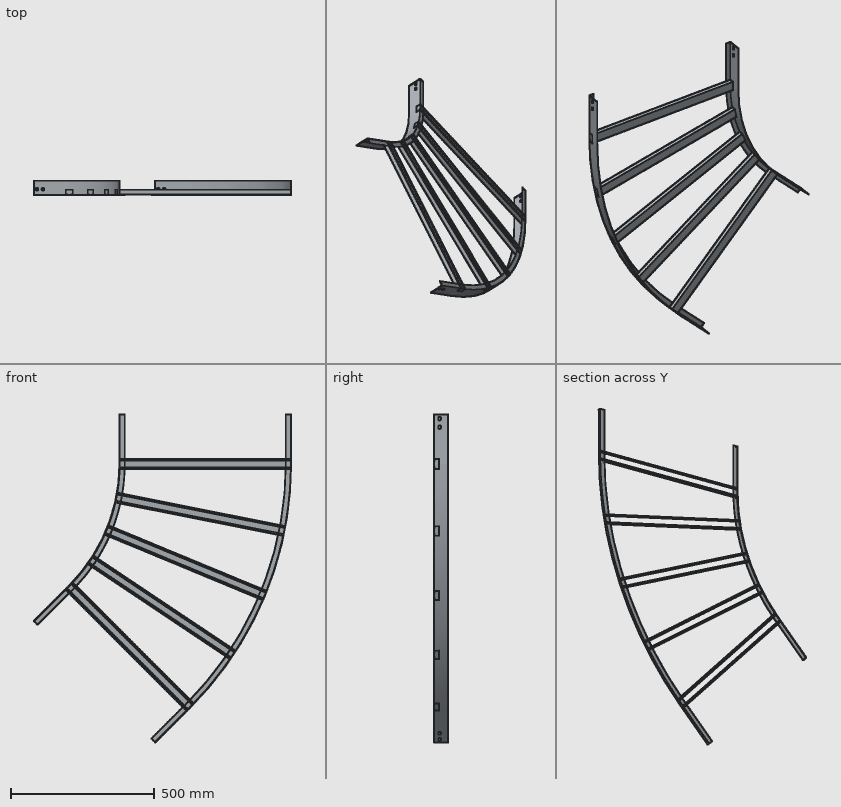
import cadquery as cq
import math


BEND_ANGLE = 45.0
INNER_RADIUS = 600.0
OUTER_RADIUS = 1200.0
TOTAL_HEIGHT = 1144.0
TURN = math.radians(BEND_ANGLE)
STRAIGHT = (TOTAL_HEIGHT - OUTER_RADIUS * math.sin(TURN)) / (1 + math.cos(TURN))

RAIL_DEPTH = 50.0
FLANGE_WIDTH = 20.0
SHEET = 2.0
EDGE_ROUND = 1.7

RUNG_COUNT = 5
RUNG_WIDTH = 35.0
RUNG_DEPTH = 17.0
LIP_WIDTH = 7.0
RUNG_SHEET = 1.0

SLOT_LENGTH = 13.0
SLOT_WIDTH = 8.0
SLOT_FROM_FRONT = 21.0
SLOT_FROM_END = (15.0, 45.0)


def polar(radius, angle):
    """Point on the bend, in (X, Z), at an angle turned downward from +X."""
    turn = math.radians(angle)
    return (radius * math.cos(turn), -radius * math.sin(turn))


def bend_band(near_radius, far_radius, depth):
    """Strip that runs straight, around the bend and straight again; its front is at Y = 0."""
    run_x = -STRAIGHT * math.sin(TURN)
    run_z = -STRAIGHT * math.cos(TURN)
    near_x, near_z = polar(near_radius, BEND_ANGLE)
    far_x, far_z = polar(far_radius, BEND_ANGLE)
    return (
        cq.Workplane("XZ")
        .moveTo(near_radius, STRAIGHT)
        .lineTo(near_radius, 0)
        .threePointArc(polar(near_radius, BEND_ANGLE / 2), (near_x, near_z))
        .lineTo(near_x + run_x, near_z + run_z)
        .lineTo(far_x + run_x, far_z + run_z)
        .lineTo(far_x, far_z)
        .threePointArc(polar(far_radius, BEND_ANGLE / 2), (far_radius, 0))
        .lineTo(far_radius, STRAIGHT)
        .close()
        .extrude(-depth)
    )


def turned(body, angle):
    """Body carried around the bend axis, downward from +X."""
    return body.rotate((0, 0, 0), (0, 1, 0), angle)


def rail_slots(web_radius):
    """Cutters for the slots through the web at both ends of a rail."""
    cutters = cq.Workplane("XY")
    for from_end in SLOT_FROM_END:
        height = STRAIGHT - from_end
        slot = (
            cq.Workplane("YZ", origin=(web_radius, SLOT_FROM_FRONT, 0))
            .center(0, height)
            .slot2D(SLOT_LENGTH, SLOT_WIDTH, 90)
            .extrude(SHEET, both=True)
        )
        cutters = cutters.add(slot)
        cutters = cutters.add(turned(slot.mirror("XY"), BEND_ANGLE))
    return cutters.combine()


def round_front(rail):
    """Round the long front edges, leaving the short edges across the rail ends sharp."""
    front = rail.faces("<Y").edges()
    long_edges = [edge for edge in front.vals() if edge.Length() > FLANGE_WIDTH + SHEET]
    return rail.newObject(long_edges).fillet(EDGE_ROUND)


def inner_rail():
    web = bend_band(INNER_RADIUS, INNER_RADIUS + SHEET, RAIL_DEPTH)
    flange = bend_band(INNER_RADIUS, INNER_RADIUS + FLANGE_WIDTH, SHEET)
    rail = round_front(web.union(flange))
    return rail.cut(rail_slots(INNER_RADIUS + SHEET / 2))


def outer_rail():
    web = bend_band(OUTER_RADIUS - SHEET, OUTER_RADIUS, RAIL_DEPTH)
    flange = bend_band(OUTER_RADIUS - FLANGE_WIDTH, OUTER_RADIUS, SHEET)
    rail = round_front(web.union(flange))
    return rail.cut(rail_slots(OUTER_RADIUS - SHEET / 2))


def rung():
    """Level lipped channel, open to the front, lying on the flanges and joined to both webs."""
    start = INNER_RADIUS + SHEET / 2
    length = OUTER_RADIUS - SHEET / 2 - start
    front = SHEET

    def bar(width, y_start, y_end):
        block = cq.Workplane("XY").box(length, y_end - y_start, width, centered=(False, False, True))
        return block.translate((start, y_start, 0))

    back = front + RUNG_DEPTH
    outside = bar(RUNG_WIDTH, front, back)
    hollow = bar(RUNG_WIDTH - 2 * RUNG_SHEET, front + RUNG_SHEET, back - RUNG_SHEET)
    opening = bar(RUNG_WIDTH - 2 * LIP_WIDTH, front, front + RUNG_SHEET)
    return outside.cut(hollow).cut(opening)


ladder = inner_rail().union(outer_rail())
for index in range(RUNG_COUNT):
    ladder = ladder.union(turned(rung(), index * BEND_ANGLE / (RUNG_COUNT - 1)))

left_reach = INNER_RADIUS * math.cos(TURN) - STRAIGHT * math.sin(TURN)
axis_height = TOTAL_HEIGHT - STRAIGHT
result = ladder.translate((-left_reach, 0, axis_height))